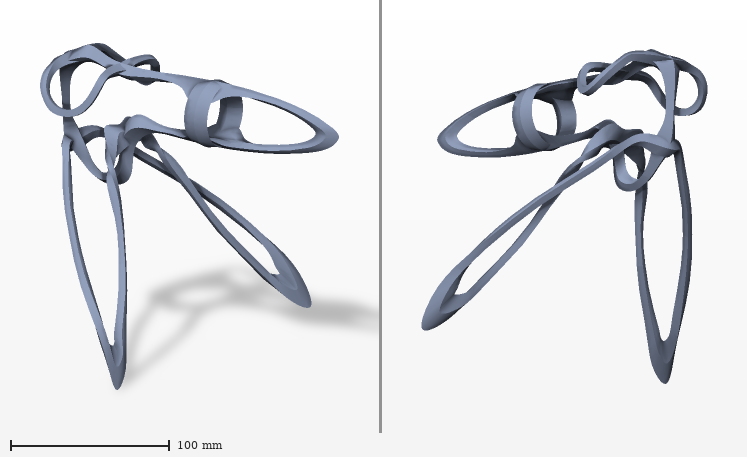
import cadquery as cq
import math


BODY_HEADING = 32.1

SPINE = [
    ((95.6, 0.0), (78.0, 0.0), 1.8, 0.5),
    ((88.0, -7.6), (74.0, -4.2), 2.6, 0.5),
    ((70.0, -14.0), (62.0, -9.2), 3.2, 0.5),
    ((45.0, -18.8), (41.0, -13.4), 4.0, 0.5),
    ((25.0, -20.8), (23.0, -15.2), 7.2, 0.7),
    ((15.0, -21.4), (15.0, -15.5), 11.5, 1.0),
    ((8.0, -21.6), (8.0, -15.6), 16.0, 1.6),
    ((-8.0, -21.6), (-8.0, -15.6), 16.0, 1.6),
    ((-15.0, -21.4), (-15.0, -15.5), 11.5, 1.0),
    ((-27.0, -20.8), (-27.0, -15.2), 6.2, 0.7),
    ((-40.0, -20.2), (-42.0, -14.0), 5.5, 0.5),
    ((-51.0, -23.0), (-56.5, -10.5), 8.5, 0.5),
    ((-58.5, -30.0), (-68.0, -20.0), 8.5, 0.5),
    ((-61.5, -41.0), (-72.0, -40.0), 4.0, 0.5),
    ((-65.0, -55.0), (-76.0, -49.5), 4.0, 0.5),
    ((-80.0, -60.5), (-84.0, -53.5), 4.0, 0.5),
    ((-94.0, -55.0), (-90.0, -50.5), 4.5, 0.5),
    ((-103.5, -46.5), (-95.0, -43.0), 5.5, 0.5),
    ((-112.0, -37.0), (-102.5, -29.5), 8.5, 0.5),
    ((-115.0, -24.0), (-108.0, -20.0), 5.0, 0.5),
    ((-116.0, -8.0), (-109.8, -8.0), 4.3, 0.5),
    ((-117.0, 8.0), (-108.5, 5.5), 7.0, 0.5),
    ((-114.0, 20.0), (-104.0, 12.5), 11.5, 0.5),
    ((-106.0, 24.0), (-98.5, 16.5), 14.0, 0.5),
    ((-95.0, 28.6), (-91.0, 17.5), 9.0, 0.5),
    ((-84.0, 25.0), (-81.0, 15.0), 6.5, 0.5),
    ((-70.0, 21.0), (-65.0, 11.0), 7.0, 0.5),
    ((-55.0, 20.0), (-52.0, 12.5), 5.5, 0.5),
    ((-40.0, 20.2), (-39.0, 14.0), 4.2, 0.5),
    ((-27.0, 21.0), (-26.0, 15.2), 6.2, 0.7),
    ((-15.0, 21.4), (-15.0, 15.5), 11.5, 1.0),
    ((-8.0, 21.6), (-8.0, 15.6), 16.0, 1.6),
    ((8.0, 21.6), (8.0, 15.6), 16.0, 1.6),
    ((15.0, 21.4), (15.0, 15.5), 11.5, 1.0),
    ((25.0, 20.9), (23.0, 15.4), 7.2, 0.7),
    ((45.0, 19.0), (41.0, 13.7), 4.0, 0.5),
    ((70.0, 14.3), (62.0, 9.4), 3.2, 0.5),
    ((88.0, 7.8), (74.0, 4.3), 2.6, 0.5),
]

RING_OUTER_RADIUS = 21.7
RING_INNER_RADIUS = 15.3
RING_RIM_RADIUS = 20.0
RING_HALF_WIDTH = 8.8

WING = [
    ((-115.3, 0.0, 18.8), (-98.0, 0.0, 19.0), 9.5),
    ((-113.8, 11.0, 19.5), (-99.5, 11.0, 19.0), 8.5),
    ((-109.8, 22.0, 19.5), (-101.6, 21.0, 18.2), 7.5),
    ((-107.5, 33.0, 17.0), (-102.0, 31.0, 14.0), 6.5),
    ((-104.5, 41.0, 10.0), (-99.5, 37.5, 8.0), 6.5),
    ((-98.5, 45.8, 3.0), (-95.5, 41.0, 4.0), 6.5),
    ((-89.4, 47.8, -3.4), (-88.5, 42.0, -0.5), 6.5),
    ((-75.7, 43.3, -3.7), (-78.9, 38.8, -0.7), 6.5),
    ((-66.3, 37.0, 6.5), (-71.5, 34.0, 7.5), 6.5),
    ((-63.5, 29.0, 17.0), (-70.0, 28.0, 15.5), 6.5),
    ((-65.7, 16.2, 19.0), (-74.0, 17.0, 17.0), 6.5),
    ((-65.0, 6.0, 18.5), (-78.0, 8.0, 16.0), 7.5),
    ((-63.5, 0.0, 17.5), (-79.0, 0.0, 16.2), 8.0),
]

LEG = [
    ((-111.5, 0.0, -32.0), (-107.0, 0.0, -43.0), 9.0),
    ((-108.5, 8.0, -30.5), (-104.0, 8.0, -41.0), 8.0),
    ((-102.2, 19.4, -30.8), (-99.2, 15.8, -37.0), 6.5),
    ((-92.9, 33.0, -42.5), (-88.9, 28.6, -44.2), 6.0),
    ((-80.5, 50.0, -58.0), (-76.3, 45.6, -58.8), 6.0),
    ((-63.2, 68.6, -74.8), (-59.4, 64.0, -75.3), 6.0),
    ((-45.1, 85.4, -94.0), (-40.9, 79.8, -94.2), 6.0),
    ((-22.0, 101.2, -116.5), (-21.5, 92.2, -118.5), 6.0),
    ((-7.0, 108.8, -137.0), (-16.9, 94.0, -128.5), 5.5),
    ((0.0, 108.6, -154.6), (-13.5, 93.1, -131.8), 4.0),
    ((-4.0, 92.6, -148.0), (-15.5, 88.0, -130.8), 5.5),
    ((-12.0, 79.8, -133.4), (-19.3, 82.8, -127.0), 6.0),
    ((-22.0, 64.2, -113.8), (-25.4, 69.8, -111.0), 6.0),
    ((-32.2, 50.0, -93.2), (-34.8, 55.0, -91.4), 6.0),
    ((-43.2, 37.3, -68.5), (-46.0, 42.5, -67.5), 6.0),
    ((-54.6, 27.4, -46.6), (-59.4, 32.6, -46.8), 6.5),
    ((-65.0, 23.0, -28.0), (-64.5, 17.5, -38.0), 8.0),
    ((-74.0, 12.5, -18.0), (-61.0, 8.5, -31.0), 9.5),
    ((-72.0, 0.0, -19.5), (-62.0, 0.0, -31.0), 9.5),
]

PATCH_STATIONS = 4
FIRST_PATCH = 3


def mirrored(point):
    return cq.Vector(point.x, -point.y, point.z)


def band(outer, left, inner, right):
    """Closed four-sided band, its edges running smoothly through the given points."""
    middles = [(a + b) * 0.5 for a, b in zip(outer, inner)]
    stops = [0.0]
    for here, ahead in zip(middles, middles[1:] + middles[:1]):
        stops.append(stops[-1] + math.sqrt((ahead - here).Length))
    rails = [outer, left, inner, right]
    edges = [cq.Edge.makeSpline(rail, periodic=True, parameters=stops) for rail in rails]
    breaks = stops[:-1:PATCH_STATIONS] + stops[-1:]
    faces = []
    for begin, end in zip(breaks, breaks[1:]):
        pieces = [edge.trim(begin, end) for edge in edges]
        faces += [cq.Face.makeRuledSurface(pieces[i - 1], pieces[i]) for i in range(len(pieces))]
    return cq.Solid.makeSolid(cq.Shell.makeShell(faces)).fix()


def spine():
    outer = [cq.Vector(u, 0, w) for (u, w), _, _, _ in SPINE]
    inner = [cq.Vector(u, 0, w) for _, (u, w), _, _ in SPINE]
    left = []
    for (_, _, half_width, share), out, inn in zip(SPINE, outer, inner):
        left.append(out + (inn - out) * share + cq.Vector(0, half_width, 0))
    right = [mirrored(point) for point in left]
    return band(outer, left, inner, right)


def ring():
    section = [
        (0, RING_OUTER_RADIUS),
        (RING_HALF_WIDTH, RING_RIM_RADIUS),
        (0, RING_INNER_RADIUS),
        (-RING_HALF_WIDTH, RING_RIM_RADIUS),
    ]
    profile = cq.Workplane("XY").polyline(section).close()
    return profile.revolve(360, (0, 0, 0), (1, 0, 0)).val()


def symmetric_loop(half):
    """Closed loop across V = 0 whose side edges stand square to its depth and to its run."""
    outer = [cq.Vector(*ridge) for ridge, _, _ in half]
    inner = [cq.Vector(*ridge) for _, ridge, _ in half]
    widths = [width for _, _, width in half]
    outer += [mirrored(point) for point in outer[-2:0:-1]]
    inner += [mirrored(point) for point in inner[-2:0:-1]]
    widths += widths[-2:0:-1]
    middles = [(a + b) * 0.5 for a, b in zip(outer, inner)]
    left = []
    right = []
    for i, middle in enumerate(middles):
        run = middles[(i + 1) % len(middles)] - middles[i - 1]
        half_width = run.cross(outer[i] - inner[i]).normalized() * (widths[i] / 2)
        left.append(middle + half_width)
        right.append(middle - half_width)
    rails = [outer, left, inner, right]
    return band(*[rail[FIRST_PATCH:] + rail[:FIRST_PATCH] for rail in rails])


body = spine().fuse(ring()).fuse(symmetric_loop(WING)).fuse(symmetric_loop(LEG))
result = cq.Workplane(body.rotate(cq.Vector(0, 0, 0), cq.Vector(0, 0, 1), BODY_HEADING))